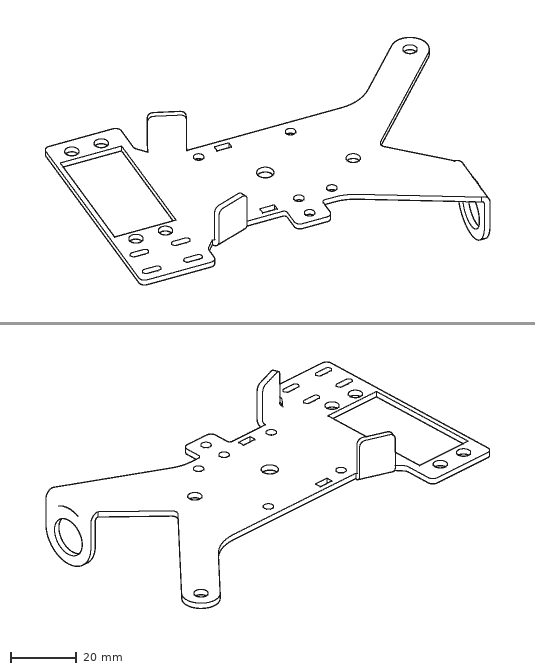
import cadquery as cq
import math

thickness = 2.0
bend_radius = 1.01
bend_reach = bend_radius + thickness

base_left = -39.2
base_right = 34.2
base_depth = 25.4
base_corner_radius = 2.0

body_half_width = 20.0

side_tab_start_y = 39.7
side_tab_length = 12.0
side_tab_angle = 20.0
side_tab_height = 13.0
side_tab_corner_radius = 2.0
flare_half_width = 27.6
flare_radius = 2.0

ear_right = 28.1
ear_front = 55.1
ear_back = 67.2
ear_corner_radius = 2.0
ear_root_radius = 1.0

total_depth = 129.0
arm_end_radius = 6.0
arm_end_x = -38.1
arm_end_y = total_depth - arm_end_radius
arm_slope = math.radians(42.5)
arm_root_radius = 15.0

flange_width = 20.0
flange_right = 38.6
flange_left = flange_right - flange_width
flange_bend_y = 112.7
flange_drop = 20.0
flange_hole_diameter = 12.3
flange_hole_offset = 0.4
right_arm_root_y = 75.1
right_arm_root_radius = 15.0
crotch_radius = 2.0

window_left = -30.2
window_width = 40.7
window_front = 1.7
window_depth = 20.6
window_screw_center = (-10.1, 12.3)
window_screw_spacing = (48.0, 10.0)
large_screw_diameter = 4.4

base_slot_center = (25.5, 12.3)
base_slot_spacing = (9.2, 14.0)
base_slot_length = 6.1
slot_width = 2.2

hub_y = 57.2
hub_diameter = 5.3
mount_spacing = 31.0
small_screw_diameter = 3.2
body_slot_x = 17.0
body_slot_y = 50.6
body_slot_length = 4.9
upper_hole = (4.5, 84.8)
ear_holes = [(16.0, 61.3), (24.0, 61.3)]


def round_corners(plate, corners, radius):
    """Round the upright edges of the plate that stand at the given corners."""
    for x, y in corners:
        edge = cq.selectors.NearestToPointSelector((x, y, thickness / 2))
        plate = plate.edges("|Z").edges(edge).fillet(radius)
    return plate


def make_plate():
    """Flat sheet with both arms, the ear and the base."""
    along = (math.cos(arm_slope), -math.sin(arm_slope))
    across = (math.sin(arm_slope), math.cos(arm_slope))

    def arm_point(side):
        return (
            arm_end_x + side * arm_end_radius * across[0],
            arm_end_y + side * arm_end_radius * across[1],
        )

    upper_tangent = arm_point(1)
    lower_tangent = arm_point(-1)
    arm_tip = (
        arm_end_x - arm_end_radius * along[0],
        arm_end_y - arm_end_radius * along[1],
    )

    crotch_distance = (
        (flange_left - upper_tangent[0]) * along[0]
        + (flange_bend_y - upper_tangent[1]) * along[1]
    )
    crotch = (
        upper_tangent[0] + crotch_distance * along[0],
        upper_tangent[1] + crotch_distance * along[1],
    )

    arm_root_drop = (-body_half_width - lower_tangent[0]) * math.tan(arm_slope)
    arm_root = (-body_half_width, lower_tangent[1] - arm_root_drop)
    right_arm_root = (body_half_width, right_arm_root_y)

    tab_angle = math.radians(side_tab_angle)
    tab_end_x = body_half_width + side_tab_length * math.sin(tab_angle)
    tab_end_y = side_tab_start_y - side_tab_length * math.cos(tab_angle)

    base_corners = [
        (base_left, 0),
        (base_right, 0),
        (base_right, base_depth),
        (base_left, base_depth),
    ]
    flare_corners = [(flare_half_width, base_depth), (-flare_half_width, base_depth)]
    ear_corners = [(ear_right, ear_front), (ear_right, ear_back)]
    ear_roots = [(body_half_width, ear_front), (body_half_width, ear_back)]

    plate = (
        cq.Workplane("XY")
        .moveTo(*base_corners[0])
        .lineTo(*base_corners[1])
        .lineTo(*base_corners[2])
        .lineTo(*flare_corners[0])
        .lineTo(tab_end_x, tab_end_y)
        .lineTo(body_half_width, side_tab_start_y)
        .lineTo(*ear_roots[0])
        .lineTo(*ear_corners[0])
        .lineTo(*ear_corners[1])
        .lineTo(*ear_roots[1])
        .lineTo(*right_arm_root)
        .lineTo(flange_right, flange_bend_y)
        .lineTo(flange_left, flange_bend_y)
        .lineTo(*crotch)
        .lineTo(*upper_tangent)
        .threePointArc(arm_tip, lower_tangent)
        .lineTo(*arm_root)
        .lineTo(-body_half_width, side_tab_start_y)
        .lineTo(-tab_end_x, tab_end_y)
        .lineTo(*flare_corners[1])
        .lineTo(*base_corners[3])
        .close()
        .extrude(thickness)
    )
    plate = round_corners(plate, base_corners, base_corner_radius)
    plate = round_corners(plate, flare_corners, flare_radius)
    plate = round_corners(plate, ear_corners, ear_corner_radius)
    plate = round_corners(plate, ear_roots, ear_root_radius)
    plate = round_corners(plate, [crotch], crotch_radius)
    plate = round_corners(plate, [arm_root], arm_root_radius)
    return round_corners(plate, [right_arm_root], right_arm_root_radius)


def make_bent_strip(length, height):
    """Strip bent up from a line along Y through the origin, leaning out to +X.

    The height is measured from the bottom face of the sheet.
    """
    quarter = math.sqrt(0.5)
    inner_mid = (bend_radius * quarter, bend_reach - bend_radius * quarter)
    outer_mid = (bend_reach * quarter, bend_reach - bend_reach * quarter)
    return (
        cq.Workplane("XZ")
        .moveTo(0, 0)
        .lineTo(0, thickness)
        .threePointArc(inner_mid, (bend_radius, bend_reach))
        .lineTo(bend_radius, height)
        .lineTo(bend_reach, height)
        .lineTo(bend_reach, bend_reach)
        .threePointArc(outer_mid, (0, 0))
        .close()
        .extrude(length)
    )


def make_side_tab():
    """Right-hand side tab with rounded top corners."""
    return (
        make_bent_strip(side_tab_length, thickness + side_tab_height)
        .faces(">Z")
        .edges("|X")
        .fillet(side_tab_corner_radius)
        .rotate((0, 0, 0), (0, 0, 1), side_tab_angle)
        .translate((body_half_width, side_tab_start_y, 0))
    )


def make_flange():
    """Round-ended flange with a large hole, bent down at the end of the right arm."""
    end_radius = flange_width / 2
    end_x = flange_left + end_radius
    end_z = end_radius - flange_drop
    outer_y = flange_bend_y + bend_reach

    def disc(radius, center_z):
        return (
            cq.Workplane("XZ", origin=(end_x, outer_y, center_z))
            .circle(radius)
            .extrude(thickness)
        )

    strip = (
        make_bent_strip(flange_width, thickness - end_z)
        .rotate((0, 0, 0), (1, 0, 0), 180)
        .rotate((0, 0, 0), (0, 0, 1), 90)
        .translate((flange_right, flange_bend_y, thickness))
    )
    hole = disc(flange_hole_diameter / 2, end_z - flange_hole_offset)
    return strip.union(disc(end_radius, end_z)).cut(hole)


def grid(center, spacing):
    """Four points at the corners of a rectangle."""
    return [
        (center[0] + i * spacing[0] / 2, center[1] + j * spacing[1] / 2)
        for i in (-1, 1)
        for j in (-1, 1)
    ]


def round_cutters(points, diameter):
    return cq.Workplane("XY").pushPoints(points).circle(diameter / 2).extrude(thickness)


def make_openings():
    """Everything that is cut through the sheet."""
    window = (
        cq.Workplane("XY")
        .moveTo(window_left, window_front)
        .rect(window_width, window_depth, centered=False)
        .extrude(thickness)
    )
    base_slots = (
        cq.Workplane("XY")
        .pushPoints(grid(base_slot_center, base_slot_spacing))
        .slot2D(base_slot_length, slot_width, 90)
        .extrude(thickness)
    )
    body_slots = (
        cq.Workplane("XY")
        .pushPoints([(-body_slot_x, body_slot_y), (body_slot_x, body_slot_y)])
        .rect(slot_width, body_slot_length)
        .extrude(thickness)
    )
    large_screws = grid(window_screw_center, window_screw_spacing)
    large_screws += [upper_hole, (arm_end_x, arm_end_y)]
    small_screws = grid((0, hub_y), (mount_spacing, mount_spacing)) + ear_holes
    return [
        window,
        base_slots,
        body_slots,
        round_cutters(large_screws, large_screw_diameter),
        round_cutters(small_screws, small_screw_diameter),
        round_cutters([(0, hub_y)], hub_diameter),
    ]


side_tab = make_side_tab()
result = make_plate()
for opening in make_openings():
    result = result.cut(opening)
result = result.union(side_tab).union(side_tab.mirror("YZ")).union(make_flange())